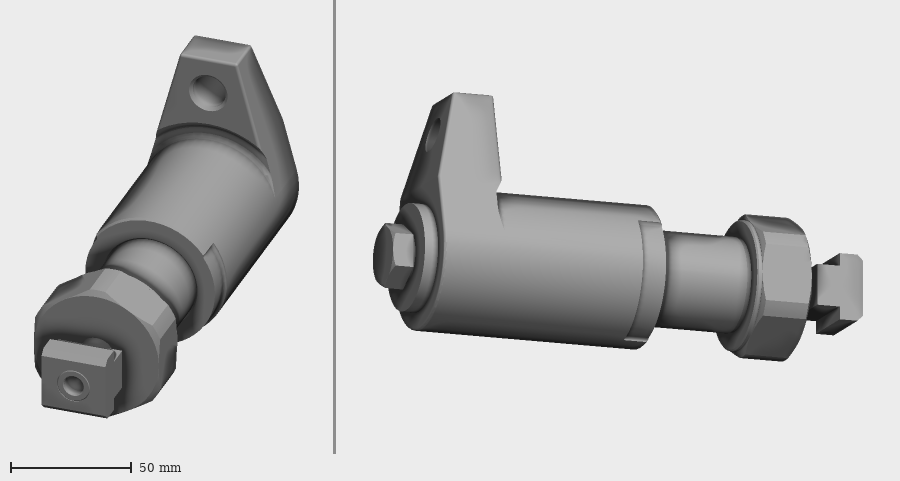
import cadquery as cq
import math

TOTAL_LENGTH = 207.0

TEE_WIDTH = 28.2
TEE_NECK_HEIGHT = 17.4
TEE_HEAD_LENGTH = 10.4
TEE_NECK_LENGTH = 10.0
TEE_CHAMFER = 2.5

SCREW_DIAMETER = 16.1
SCREW_GAP = 7.5
SCREW_RING_RADIUS = 7.2
SCREW_RING_SIZE = 0.5
CENTER_HOLE_DIAMETER = 8.5
CENTER_HOLE_CHAMFER = 0.5
CENTER_HOLE_DEPTH = 4.1
DRILL_TIP_ANGLE = 118.0
HEAD_FLATS = 24.0
HEAD_LENGTH = 9.0
HEAD_COLLAR_DIAMETER = 22.5
HEAD_COLLAR_LENGTH = 1.2

NUT_FLATS = 55.0
NUT_CORNER_DIAMETER = 60.0
NUT_LENGTH = 21.7
NUT_COLLAR_RADIUS = 27.3
NUT_COLLAR_LENGTH = 2.0
NUT_COLLAR_CHAMFER = 0.6
HEX_CHAMFER_ANGLE = 30.0

SHAFT_DIAMETER = 40.2
RELIEF_LENGTH = 1.9
RELIEF_DEPTH = 0.5

BODY_RADIUS = 30.0
BODY_LENGTH = 98.5
BODY_FRONT_CHAMFER = 0.8
BORE_CHAMFER = 0.8
SIDE_RELIEF_LENGTH = 10.8
SIDE_RELIEF_RADIUS = 28.5
SIDE_RELIEF_OVERCUT = 2.0
SIDE_RELIEF_ROUND = 1.5
SIDE_RELIEF_TOP_ANGLE = 37.0
SIDE_RELIEF_BOTTOM_ANGLE = -76.0

ARM_TOP = 69.0
ARM_THICKNESS = 28.4
ARM_TAPER_ANGLE = 15.0
ARM_EDGE_ROUND = 1.2
ARM_HOLE_DIAMETER = 14.5
ARM_HOLE_HEIGHT = 53.0
ARM_HOLE_CHAMFER = 1.2
ARM_RECESS_DEPTH = 3.3
ARM_RECESS_OUTER_RADIUS = 38.3
ARM_RECESS_WALL_SLOPE = 3.3
ARM_RECESS_CORNER_ROUND = 1.0
ARM_RECESS_FILLET = 1.9

WASHER_DIAMETER = 45.1

tee_rear = TEE_HEAD_LENGTH + TEE_NECK_LENGTH
nut_front = tee_rear + SCREW_GAP
nut_rear = nut_front + NUT_LENGTH
collar_rear = nut_rear + NUT_COLLAR_LENGTH
relief_rear = collar_rear + RELIEF_LENGTH
head_front = TOTAL_LENGTH - HEAD_LENGTH
washer_rear = head_front - HEAD_COLLAR_LENGTH
body_front = 92.5
body_rear = body_front + BODY_LENGTH
arm_front = body_rear - ARM_THICKNESS


def along_y(y_start):
    """Sketch plane across the axis at y_start: local x is -X, local y is +Z, extrusion goes to +Y."""
    return cq.Workplane(cq.Plane(origin=(0, y_start, 0), xDir=(-1, 0, 0), normal=(0, 1, 0)))


def cylinder(radius, y_start, y_end):
    return along_y(y_start).circle(radius).extrude(y_end - y_start)


def revolved(points):
    """Turn a closed (radius, y) outline about the Y axis."""
    return cq.Workplane("XY").polyline(points).close().revolve(360, (0, 0, 0), (0, 1, 0))


def hexagon(flats, y_start, y_end):
    """Hexagonal prism with corners at the top and bottom."""
    corner_diameter = flats / math.cos(math.radians(30))
    prism = along_y(y_start).polygon(6, corner_diameter).extrude(y_end - y_start)
    return prism.rotate((0, 0, 0), (0, 1, 0), 90)


def tee_nut():
    half_width = TEE_WIDTH / 2
    half_neck = TEE_NECK_HEIGHT / 2
    outline = [
        (0, half_width - TEE_CHAMFER),
        (TEE_CHAMFER, half_width),
        (TEE_HEAD_LENGTH, half_width),
        (TEE_HEAD_LENGTH, half_neck),
        (tee_rear, half_neck),
    ]
    mirrored = [(y, -z) for y, z in reversed(outline)]
    nut = cq.Workplane("YZ").polyline(outline + mirrored).close().extrude(half_width, both=True)

    ring = revolved([
        (SCREW_RING_RADIUS, 0),
        (SCREW_RING_RADIUS, SCREW_RING_SIZE),
        (SCREW_RING_RADIUS - SCREW_RING_SIZE, 0),
    ])
    hole_radius = CENTER_HOLE_DIAMETER / 2
    tip_length = hole_radius / math.tan(math.radians(DRILL_TIP_ANGLE / 2))
    center_hole = revolved([
        (0, 0),
        (hole_radius + CENTER_HOLE_CHAMFER, 0),
        (hole_radius, CENTER_HOLE_CHAMFER),
        (hole_radius, CENTER_HOLE_DEPTH),
        (0, CENTER_HOLE_DEPTH + tip_length),
    ])
    return nut.cut(ring).cut(center_hole)


def hex_nut():
    corner_radius = NUT_CORNER_DIAMETER / 2
    face_radius = NUT_FLATS / 2
    chamfer_length = (corner_radius - face_radius) * math.tan(math.radians(HEX_CHAMFER_ANGLE))
    turned_blank = revolved([
        (0, nut_front),
        (face_radius, nut_front),
        (corner_radius, nut_front + chamfer_length),
        (corner_radius, nut_rear - chamfer_length),
        (face_radius, nut_rear),
        (0, nut_rear),
    ])
    collar = cylinder(NUT_COLLAR_RADIUS, nut_rear, collar_rear).faces(">Y").chamfer(NUT_COLLAR_CHAMFER)
    return hexagon(NUT_FLATS, nut_front, nut_rear).intersect(turned_blank).union(collar)


def shaft():
    radius = SHAFT_DIAMETER / 2
    relief = cylinder(radius - RELIEF_DEPTH, collar_rear, relief_rear)
    return relief.union(cylinder(radius, relief_rear, body_front))


def side_relief(side):
    """Shallow step around one side (+1 or -1 in X) of the body's front end."""
    rear = body_front + SIDE_RELIEF_LENGTH
    floor = cylinder(SIDE_RELIEF_RADIUS, body_front, rear)
    reach = 3 * BODY_RADIUS
    corners = [
        (-side * reach * math.cos(math.radians(angle)), reach * math.sin(math.radians(angle)))
        for angle in (SIDE_RELIEF_TOP_ANGLE, 0, SIDE_RELIEF_BOTTOM_ANGLE)
    ]
    sector = along_y(body_front).polyline([(0, 0)] + corners).close().extrude(SIDE_RELIEF_LENGTH)
    ring = cylinder(BODY_RADIUS + SIDE_RELIEF_OVERCUT, body_front, rear)
    step = ring.cut(floor).intersect(sector)
    floor_face = step.faces("%CYLINDER").faces(cq.selectors.AreaNthSelector(0))
    return floor_face.edges("not <Y").fillet(SIDE_RELIEF_ROUND)


def arm():
    """Tapered arm whose sides run tangent into the body cylinder."""
    taper = math.radians(ARM_TAPER_ANGLE)
    tangent_x = BODY_RADIUS * math.cos(taper)
    tangent_z = BODY_RADIUS * math.sin(taper)
    top_x = (BODY_RADIUS - ARM_TOP * math.sin(taper)) / math.cos(taper)
    blank = (
        along_y(arm_front)
        .moveTo(-tangent_x, tangent_z)
        .lineTo(-top_x, ARM_TOP)
        .lineTo(top_x, ARM_TOP)
        .lineTo(tangent_x, tangent_z)
        .threePointArc((0, -BODY_RADIUS), (-tangent_x, tangent_z))
        .close()
        .extrude(ARM_THICKNESS)
    )
    rise = ARM_TOP - BODY_RADIUS
    sloped_back = (
        cq.Workplane("YZ")
        .polyline([
            (body_rear, BODY_RADIUS),
            (body_rear - rise * math.tan(taper), ARM_TOP),
            (body_rear, ARM_TOP),
        ])
        .close()
        .extrude(BODY_RADIUS, both=True)
    )
    blank = blank.cut(sloped_back)
    return blank.edges(">Z or (not (|X or |Y))").fillet(ARM_EDGE_ROUND)


def arm_recess():
    """Turned recess in the arm's front face, blending into the body cylinder with a round."""
    floor_y = arm_front + ARM_RECESS_DEPTH
    recess = (
        cq.Workplane("XY")
        .moveTo(BODY_RADIUS, arm_front)
        .lineTo(BODY_RADIUS, floor_y - ARM_RECESS_FILLET)
        .radiusArc((BODY_RADIUS + ARM_RECESS_FILLET, floor_y), ARM_RECESS_FILLET)
        .lineTo(ARM_RECESS_OUTER_RADIUS - ARM_RECESS_WALL_SLOPE, floor_y)
        .lineTo(ARM_RECESS_OUTER_RADIUS, arm_front)
        .close()
        .revolve(360, (0, 0, 0), (0, 1, 0))
    )
    wall_foot = recess.faces(">Y").edges(cq.selectors.RadiusNthSelector(-1))
    return wall_foot.fillet(ARM_RECESS_CORNER_ROUND)


def arm_hole():
    radius = ARM_HOLE_DIAMETER / 2
    bore = revolved([
        (0, arm_front),
        (radius + ARM_HOLE_CHAMFER, arm_front),
        (radius, arm_front + ARM_HOLE_CHAMFER),
        (radius, body_rear),
        (0, body_rear),
    ])
    return bore.translate((0, 0, ARM_HOLE_HEIGHT))


def bore_chamfer():
    """Bevel of the body's bore where the shaft comes out."""
    radius = SHAFT_DIAMETER / 2
    return revolved([
        (radius, body_front),
        (radius + BORE_CHAMFER, body_front),
        (radius, body_front + BORE_CHAMFER),
    ])


def body():
    tube_end = body_rear - ARM_EDGE_ROUND
    tube = cylinder(BODY_RADIUS, body_front, tube_end).faces("<Y").chamfer(BODY_FRONT_CHAMFER)
    clamp = tube.union(arm().cut(arm_recess())).cut(arm_hole())
    clamp = clamp.cut(bore_chamfer())
    for side in (1, -1):
        clamp = clamp.cut(side_relief(side))
    return clamp


def bolt_head():
    corner_radius = HEAD_FLATS / 2 / math.cos(math.radians(30))
    face_radius = HEAD_FLATS / 2
    chamfer_length = (corner_radius - face_radius) * math.tan(math.radians(HEX_CHAMFER_ANGLE))
    turned_blank = revolved([
        (0, head_front),
        (corner_radius, head_front),
        (corner_radius, TOTAL_LENGTH - chamfer_length),
        (face_radius, TOTAL_LENGTH),
        (0, TOTAL_LENGTH),
    ])
    head = hexagon(HEAD_FLATS, head_front, TOTAL_LENGTH).intersect(turned_blank)
    return head.union(cylinder(HEAD_COLLAR_DIAMETER / 2, washer_rear, head_front))


result = (
    tee_nut()
    .union(cylinder(SCREW_DIAMETER / 2, tee_rear, nut_front))
    .union(hex_nut())
    .union(shaft())
    .union(body())
    .union(cylinder(WASHER_DIAMETER / 2, body_rear, washer_rear))
    .union(bolt_head())
)